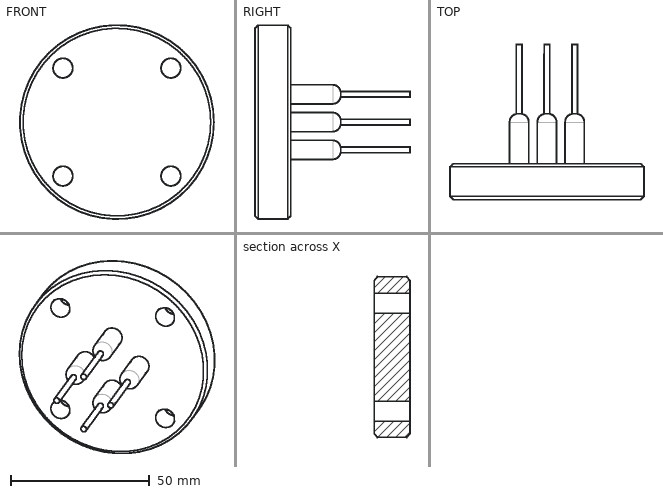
import cadquery as cq

disc_diameter = 70.0
disc_thickness = 13.0
disc_chamfer = 1.2

hole_diameter = 7.0
hole_spacing = 38.9

pin_offset = 10.0
sleeve_diameter = 7.0
sleeve_end = 31.0
sleeve_rounding = 3.0
wire_diameter = 2.1
wire_end = 56.0
pin_positions = [
    (-pin_offset, 0),
    (0, pin_offset),
    (pin_offset, 0),
    (0, -pin_offset),
]


def cylinder_along_y(x, z, diameter, start, end):
    """Cylinder parallel to Y, between two Y positions."""
    base = cq.Workplane("XZ", origin=(x, start, z))
    return base.circle(diameter / 2).extrude(start - end)


def flange():
    disc = cylinder_along_y(0, 0, disc_diameter, 0, disc_thickness)
    disc = disc.edges().chamfer(disc_chamfer)
    holes = (
        cq.Workplane("XZ")
        .rect(hole_spacing, hole_spacing, forConstruction=True)
        .vertices()
        .circle(hole_diameter / 2)
        .extrude(-disc_thickness)
    )
    return disc.cut(holes)


def pin(x, z):
    """Round-ended sleeve with a thin wire leaving its tip."""
    sleeve = cylinder_along_y(x, z, sleeve_diameter, disc_thickness, sleeve_end)
    sleeve = sleeve.faces(">Y").edges().fillet(sleeve_rounding)
    wire = cylinder_along_y(x, z, wire_diameter, disc_thickness, wire_end)
    return sleeve.union(wire)


result = flange()
for pin_x, pin_z in pin_positions:
    result = result.union(pin(pin_x, pin_z))